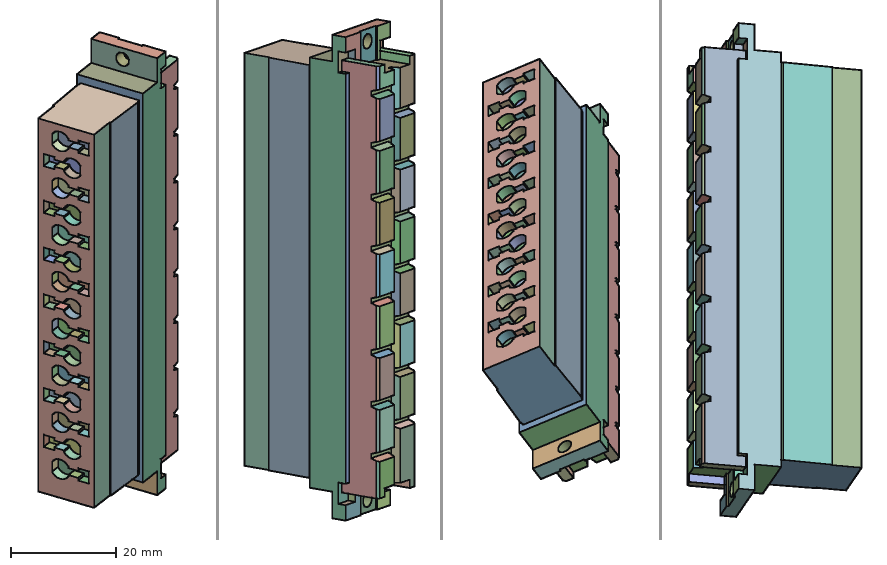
import cadquery as cq

WIDTH = 14.7
DEPTH = 31.2
HEIGHT = 94.75
FRONT_Y = -DEPTH / 2
REAR_Y = DEPTH / 2

STEP_Y = FRONT_Y + 5.8
BLOCK_REAR_Y = FRONT_Y + 15.4
HOUSING_FRONT_Y = FRONT_Y + 16.0
FLANGE_FRONT_Y = FRONT_Y + 21.2
TAB_FRONT_Y = FRONT_Y + 22.6
FLANGE_REAR_Y = FRONT_Y + 24.35

BLOCK_HEIGHT = 80.9
BLOCK_REAR_WIDTH = 13.4
BLOCK_STEP_WIDTH = 12.9
NOSE_WIDTH = 12.4
NECK_WIDTH = 13.1

HOUSING_HEIGHT = 84.3

REAR_WIDTH = 12.3
CORE_WIDTH = 8.15
CORE_HEIGHT = 81.4
WALL_HEIGHT = 84.7
WALL_CHAMFER = 0.5

SLOT_INNER_Z = 40.2
SLOT_OUTER_Z = 44.3

HOLE_DIAMETER = 2.8
HOLE_X = -0.4
HOLE_Z = 44.9
RELIEF_WIDTH = 5.3
RELIEF_DEPTH = 0.4

SOCKET_COUNT = 15
SOCKET_ROW_LENGTH = 71.1
SOCKET_PITCH = SOCKET_ROW_LENGTH / (SOCKET_COUNT - 1)
SOCKET_MIDDLE_Z = 1.3
SOCKET_DEPTH = 2.2
SOCKET_DIAMETER = 4.2
SOCKET_FLATS_WIDTH = 3.6
SOCKET_CENTRE_X = 1.3
SOCKET_NECK_WIDTH = 1.5
SOCKET_END_WIDTH = 2.7
SOCKET_END_START_X = 2.7
SOCKET_END_X = 5.0

GROOVE_MOUTH = 1.9
GROOVE_FLOOR = 0.9
GROOVE_DEPTH = 1.7


def box_between(x_range, y_range, z_range):
    """Box given by its lower and upper limit along each axis."""
    size = [high - low for low, high in (x_range, y_range, z_range)]
    corner = (x_range[0], y_range[0], z_range[0])
    return cq.Workplane("XY").box(*size, centered=False).translate(corner)


def centred_layer(width, front_y, rear_y, height):
    """Box centred in X and Z that spans the given depth."""
    return box_between(
        (-width / 2, width / 2), (front_y, rear_y), (-height / 2, height / 2)
    )


def front_block():
    """Solid front part that carries the sockets, with the neck behind it."""
    nose = centred_layer(NOSE_WIDTH, FRONT_Y, STEP_Y, BLOCK_HEIGHT)
    tapered = (
        cq.Workplane("XY", origin=(0, 0, -BLOCK_HEIGHT / 2))
        .polyline([
            (-BLOCK_STEP_WIDTH / 2, STEP_Y),
            (BLOCK_STEP_WIDTH / 2, STEP_Y),
            (BLOCK_REAR_WIDTH / 2, BLOCK_REAR_Y),
            (-BLOCK_REAR_WIDTH / 2, BLOCK_REAR_Y),
        ])
        .close()
        .extrude(BLOCK_HEIGHT)
    )
    neck = centred_layer(NECK_WIDTH, BLOCK_REAR_Y, HOUSING_FRONT_Y, BLOCK_HEIGHT)
    return nose.union(tapered).union(neck)


def flange():
    """Mounting plate with its holes, reliefs and four side slots."""
    plate = centred_layer(WIDTH, FLANGE_FRONT_Y, FLANGE_REAR_Y, HEIGHT)
    holes = (
        cq.Workplane("XZ", origin=(0, FLANGE_REAR_Y, 0))
        .pushPoints([(HOLE_X, HOLE_Z), (HOLE_X, -HOLE_Z)])
        .circle(HOLE_DIAMETER / 2)
        .extrude(FLANGE_REAR_Y - FLANGE_FRONT_Y)
    )
    reliefs = centred_layer(
        RELIEF_WIDTH, FLANGE_REAR_Y - RELIEF_DEPTH, FLANGE_REAR_Y, HEIGHT
    ).translate((HOLE_X, 0, 0))
    plate = plate.cut(holes).cut(reliefs)
    for side in (-1, 1):
        for end in (-1, 1):
            plate = plate.cut(box_between(
                sorted((side * CORE_WIDTH / 2, side * WIDTH / 2)),
                (TAB_FRONT_Y, FLANGE_REAR_Y),
                sorted((end * SLOT_INNER_Z, end * SLOT_OUTER_Z)),
            ))
    return plate


def rear_section():
    """Core and side walls, reaching forward into the flange as tabs."""
    core = centred_layer(CORE_WIDTH, TAB_FRONT_Y, REAR_Y, CORE_HEIGHT)
    walls = centred_layer(REAR_WIDTH, TAB_FRONT_Y, REAR_Y, WALL_HEIGHT)
    walls = walls.edges("|Z and >Y").chamfer(WALL_CHAMFER)
    walls = walls.cut(centred_layer(CORE_WIDTH, TAB_FRONT_Y, REAR_Y, WALL_HEIGHT))
    return core.union(walls)


def rear_groove(length):
    """Tapered groove running from the origin along +Z."""
    return (
        cq.Workplane("XY")
        .polyline([
            (-GROOVE_MOUTH / 2, 0),
            (GROOVE_MOUTH / 2, 0),
            (GROOVE_FLOOR / 2, -GROOVE_DEPTH),
            (-GROOVE_FLOOR / 2, -GROOVE_DEPTH),
        ])
        .close()
        .extrude(length)
    )


def socket(direction, z):
    """Keyhole pocket in the front face whose square end points along direction."""

    def strip(width, start_x, end_x):
        return box_between(
            sorted((direction * start_x, direction * end_x)),
            (FRONT_Y, FRONT_Y + SOCKET_DEPTH),
            (z - width / 2, z + width / 2),
        )

    round_end = (
        cq.Workplane("XZ", origin=(-direction * SOCKET_CENTRE_X, FRONT_Y, z))
        .circle(SOCKET_DIAMETER / 2)
        .extrude(-SOCKET_DEPTH)
    )
    round_end = round_end.intersect(strip(
        SOCKET_DIAMETER,
        -SOCKET_CENTRE_X - SOCKET_FLATS_WIDTH / 2,
        -SOCKET_CENTRE_X + SOCKET_FLATS_WIDTH / 2,
    ))
    neck = strip(SOCKET_NECK_WIDTH, -SOCKET_CENTRE_X, SOCKET_END_START_X)
    square_end = strip(SOCKET_END_WIDTH, SOCKET_END_START_X, SOCKET_END_X)
    return round_end.union(neck).union(square_end)


housing = centred_layer(WIDTH, HOUSING_FRONT_Y, FLANGE_FRONT_Y, HOUSING_HEIGHT)
result = front_block().union(housing).union(flange()).union(rear_section())

central_groove = rear_groove(WALL_HEIGHT).translate((0, REAR_Y, -WALL_HEIGHT / 2))
result = result.cut(central_groove)

for index in range(SOCKET_COUNT):
    direction = 1 if index % 2 == 0 else -1
    z = SOCKET_MIDDLE_Z + SOCKET_ROW_LENGTH / 2 - index * SOCKET_PITCH
    result = result.cut(socket(direction, z))
    side_groove = (
        rear_groove(REAR_WIDTH / 2)
        .rotate((0, 0, 0), (0, 1, 0), direction * 90)
        .translate((0, REAR_Y, z))
    )
    result = result.cut(side_groove)